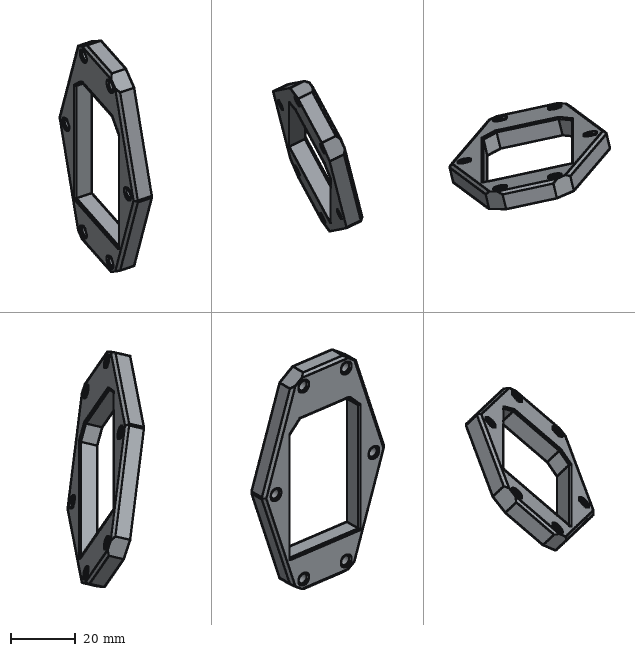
import cadquery as cq

height = 77.5
width = 49.8
thickness = 6.0
top_flat = 16.1
shoulder_width = 26.9
corner_drop = 3.8
side_flat = 0.7
rim_chamfer = 1.0

window_width = 28.05
window_top = 23.2
window_bottom = -25.1
window_corner_cut = 4.2
window_chamfer = 0.5

hole_diameter = 3.3
hole_chamfer = 0.5
corner_hole_x = 8.7
corner_hole_z = 34.5
side_hole_x = 20.0

front_y = -thickness / 2


def front_plane():
    """Workplane on the front face; its local axes are X and Z."""
    return cq.Workplane("XZ", origin=(0, front_y, 0))


def make_plate():
    tip = (width / 2, side_flat / 2)
    shoulder = (shoulder_width / 2, height / 2 - corner_drop)
    top_corner = (top_flat / 2, height / 2)
    upper = [tip, shoulder, top_corner]
    upper += [(-x, z) for x, z in reversed(upper)]
    outline = upper + [(-x, -z) for x, z in upper]
    blank = front_plane().polyline(outline).close().extrude(-thickness)

    side_slope = (tip[0] - shoulder[0]) / (shoulder[1] - tip[1])
    point_x = tip[0] + side_slope * tip[1]
    corner_x = point_x - side_slope * height / 2
    hexagon = [
        (point_x, 0),
        (corner_x, height / 2),
        (-corner_x, height / 2),
        (-point_x, 0),
        (-corner_x, -height / 2),
        (corner_x, -height / 2),
    ]
    bevelled = front_plane().polyline(hexagon).close().extrude(-thickness)
    bevelled = bevelled.faces("<Y").chamfer(rim_chamfer)

    return bevelled.intersect(blank)


def make_window():
    half = window_width / 2
    cut = window_corner_cut
    outline = [
        (-half, window_bottom),
        (half, window_bottom),
        (half, window_top - cut),
        (half - cut, window_top),
        (-half + cut, window_top),
        (-half, window_top - cut),
    ]
    opening = front_plane().polyline(outline).close().extrude(-thickness)
    flare = (
        cq.Workplane("XZ", origin=(0, front_y + window_chamfer, 0))
        .polyline(outline)
        .close()
        .extrude(window_chamfer, taper=-45)
    )
    return opening.union(flare)


def make_holes():
    centres = [(sx * corner_hole_x, sz * corner_hole_z) for sx in (-1, 1) for sz in (-1, 1)]
    centres += [(-side_hole_x, 0), (side_hole_x, 0)]
    bores = front_plane().pushPoints(centres).circle(hole_diameter / 2).extrude(-thickness)
    countersinks = (
        front_plane()
        .pushPoints(centres)
        .circle(hole_diameter / 2 + hole_chamfer)
        .extrude(-hole_chamfer, taper=45)
    )
    return bores.union(countersinks)


result = make_plate().cut(make_window()).cut(make_holes())